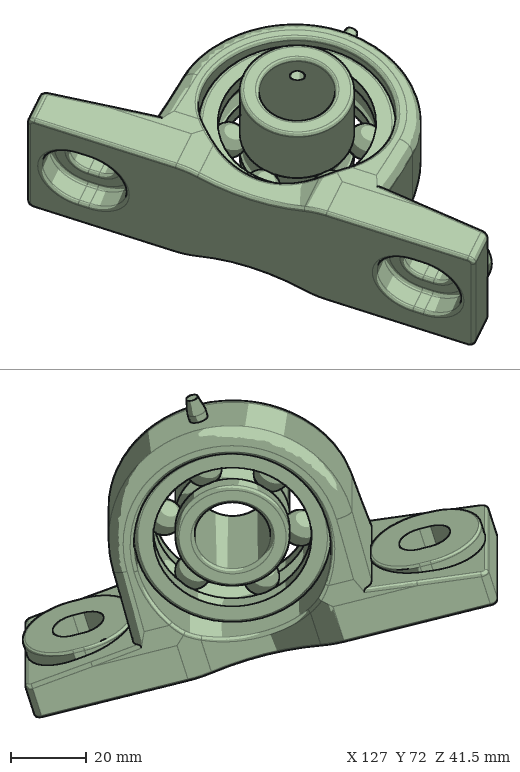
import cadquery as cq
import math

length = 127.0
half_depth = 19.0
bore_height = 33.0
arch_radius = 32.7
arch_edge_fillet = 4.0
bore_radius = 26.0
bore_edge_fillet = 1.0

base_end_height = 10.2
base_arch_height = 14.4
base_corner_fillet = 2.0
base_edge_fillet = 1.0

flare_crest_height = 69.4
flare_crest_half_depth = 10.2
flare_radius = 175.0
flare_blend_radius = 20.0
blank_half_depth = 25.0

waist_half_depth = 15.5
waist_radius = 47.0
waist_blend_radius = 20.0

slot_spacing = 95.0
slot_straight = 3.0
slot_width = 11.0
pocket_width = 21.0
pocket_depth = 7.0
boss_width = 27.8
boss_height = 14.7
boss_edge_fillet = 0.7
slot_edge_fillet = 1.0
tolerance = 0.01

nipple_tip_height = 72.0
nipple_radius = 2.5
nipple_tip_radius = 1.6
nipple_cone_length = 4.2
nipple_root_height = bore_height + 0.5 * (bore_radius + arch_radius)

shaft_radius = 10.0
pitch_radius = 18.0
race_half_gap = 2.88
ring_half_width = 8.0
inner_ring_top = 22.5
ring_edge_fillet = 1.0
inner_edge_fillet = 1.0
ball_radius = 4.8
groove_radius = 4.6
ball_count = 6
bearing_turn = 21.0
screw_radius = 2.0
screw_mouth_radius = 3.0
screw_height = 15.3
screw_angles = (bearing_turn + 90, bearing_turn + 180)

inner_race_radius = pitch_radius - race_half_gap
outer_race_radius = pitch_radius + race_half_gap


def plate(plan):
    """Extrudes a plan outline symmetrically in Z, thick enough to span the whole housing."""
    return plan.extrude(2 * blank_half_depth).translate((0, 0, -blank_half_depth))


def flare_half_depth(height):
    """Half depth of the long flare arcs at a height above the underside."""
    drop = flare_crest_height - height
    return flare_crest_half_depth + flare_radius - math.sqrt(flare_radius**2 - drop**2)


def flared_block():
    """Block whose two faces narrow along long arcs towards the crest, extruded along X."""
    middle_height = flare_crest_height / 2
    foot_half_depth = flare_half_depth(0)
    middle_half_depth = flare_half_depth(middle_height)
    return (
        cq.Workplane("YZ", origin=(-length / 2, 0, 0))
        .moveTo(0, -foot_half_depth)
        .lineTo(0, foot_half_depth)
        .threePointArc((middle_height, middle_half_depth), (flare_crest_height, flare_crest_half_depth))
        .lineTo(flare_crest_height, -flare_crest_half_depth)
        .threePointArc((middle_height, -middle_half_depth), (0, -foot_half_depth))
        .close()
        .extrude(length)
    )


def make_envelope(flare):
    """Flared block limited to the base depth, with the two resulting ridges blended."""
    slab = cq.Workplane("XY").box(length, 2 * flare_crest_height, 2 * half_depth)
    block = flare.intersect(slab)
    return block.faces("<Z or >Z").edges("|X and (not <Y)").fillet(flare_blend_radius)


def waisted_block():
    """Plan outline of the base in the XZ plane, extruded over the full height."""
    spread = waist_radius + waist_blend_radius
    arc_z = waist_half_depth + waist_radius
    blend_z = half_depth - waist_blend_radius
    rise = arc_z - blend_z
    blend_x = math.sqrt(spread**2 - rise**2)
    share = waist_radius / spread
    join_x = share * blend_x
    join_z = arc_z - share * rise
    turn = 0.5 * math.atan2(blend_x, rise)
    mid_x = blend_x - waist_blend_radius * math.sin(turn)
    mid_z = blend_z + waist_blend_radius * math.cos(turn)
    half_length = length / 2
    return (
        cq.Workplane("XZ")
        .moveTo(-half_length, half_depth)
        .lineTo(-blend_x, half_depth)
        .threePointArc((-mid_x, mid_z), (-join_x, join_z))
        .threePointArc((0, waist_half_depth), (join_x, join_z))
        .threePointArc((mid_x, mid_z), (blend_x, half_depth))
        .lineTo(half_length, half_depth)
        .lineTo(half_length, -half_depth)
        .lineTo(blend_x, -half_depth)
        .threePointArc((mid_x, -mid_z), (join_x, -join_z))
        .threePointArc((0, -waist_half_depth), (-join_x, -join_z))
        .threePointArc((-mid_x, -mid_z), (-blend_x, -half_depth))
        .lineTo(-half_length, -half_depth)
        .close()
        .extrude(-flare_crest_height)
    )


def base(envelope, waist):
    """Foot with sloping top, rounded on its ends, underside and top edges."""
    half_length = length / 2
    slope_end = arch_radius - arch_edge_fillet
    plan = (
        cq.Workplane("XY")
        .polyline([
            (-half_length, 0),
            (-half_length, base_end_height),
            (-slope_end, base_arch_height),
            (slope_end, base_arch_height),
            (half_length, base_end_height),
            (half_length, 0),
        ])
        .close()
    )
    blank = plate(plan)
    body = blank.intersect(envelope).intersect(waist)
    body = body.faces("<X or >X").edges("|Y").fillet(base_corner_fillet)
    body = body.faces("<Y").edges().fillet(base_edge_fillet)

    slope_rise = base_arch_height - base_end_height
    slope_run = half_length - slope_end
    for side in (-1, 1):
        slope_normal = cq.Vector(side * slope_rise, slope_run, 0)
        top = body.faces(cq.selectors.ParallelDirSelector(slope_normal))
        rim = top.edges().filter(lambda edge: abs(edge.Center().x) > slope_end + base_edge_fillet)
        body = rim.fillet(base_edge_fillet)
    return body


def arch(flare, envelope, waist):
    """Bearing arch, its outer edges rounded along the long flare before the base depth trims it."""
    plan = (
        cq.Workplane("XY")
        .moveTo(-arch_radius, base_edge_fillet)
        .lineTo(-arch_radius, bore_height)
        .threePointArc((0, bore_height + arch_radius), (arch_radius, bore_height))
        .lineTo(arch_radius, base_edge_fillet)
        .close()
    )
    body = plate(plan).intersect(flare)
    outline = body.faces("<X or >X").edges("not |Z")
    return outline.fillet(arch_edge_fillet).intersect(envelope).intersect(waist)


def slot(width, bottom, top):
    """Straight-sided slot solid, long along X, between two heights, at the middle of the part."""
    return (
        cq.Workplane("XZ", origin=(0, bottom, 0))
        .slot2D(width + slot_straight, width)
        .extrude(bottom - top)
    )


def nipple():
    """Grease nipple on the crest of the arch: a cylinder with a cone tip."""
    shoulder = nipple_tip_height - nipple_cone_length
    return (
        cq.Workplane("XY")
        .moveTo(0, nipple_root_height)
        .lineTo(nipple_radius, nipple_root_height)
        .lineTo(nipple_radius, shoulder)
        .lineTo(nipple_tip_radius, nipple_tip_height)
        .lineTo(0, nipple_tip_height)
        .close()
        .revolve(360, (0, 0, 0), (0, 1, 0))
    )


def cut_bore(body):
    """Cuts the bearing seat and rounds its two mouths along the waisted, flared faces."""
    cutter = plate(cq.Workplane("XY").center(0, bore_height).circle(bore_radius))
    body = body.cut(cutter)

    def on_mouth(edge):
        ends = (edge.positionAt(0), edge.positionAt(1))
        on_seat = all(
            abs(math.hypot(end.x, end.y - bore_height) - bore_radius) < tolerance for end in ends
        )
        return on_seat and min(abs(end.z) for end in ends) > flare_crest_half_depth

    return body.edges().filter(on_mouth).fillet(bore_edge_fillet)


def round_rim(body, place, width, height):
    """Rounds the downward-facing rim of a slot of the given width at the given height."""
    reach = width / 2 + tolerance
    low = (place[0] - reach - slot_straight / 2, height - tolerance, -reach)
    high = (place[0] + reach + slot_straight / 2, height + tolerance, reach)
    rim = body.edges(cq.selectors.BoxSelector(low, high, boundingbox=True))
    return rim.fillet(slot_edge_fillet)


def make_housing():
    """Pillow block housing with its grease nipple and two bossed mounting slots."""
    flare = flared_block()
    envelope = make_envelope(flare)
    waist = waisted_block()
    body = cut_bore(base(envelope, waist).union(arch(flare, envelope, waist)).clean())
    body = body.union(nipple())
    boss = slot(boss_width, base_edge_fillet, boss_height).faces(">Y").edges().fillet(boss_edge_fillet)
    pocket = slot(pocket_width, 0, pocket_depth).faces(">Y").edges().fillet(slot_edge_fillet)
    opening = pocket.union(slot(slot_width, 0, boss_height))
    for side in (-1, 1):
        place = (side * slot_spacing / 2, 0, 0)
        body = body.union(boss.translate(place)).cut(opening.translate(place))
        body = round_rim(body, place, pocket_width, 0)
        body = round_rim(body, place, slot_width, pocket_depth)
    return body


def screw_hole(angle):
    """Cutter for a radial set screw hole with a countersunk mouth."""
    sink = screw_mouth_radius - screw_radius
    return (
        cq.Workplane("XZ")
        .moveTo(0, screw_height)
        .lineTo(0, screw_height + screw_radius)
        .lineTo(inner_race_radius - sink, screw_height + screw_radius)
        .lineTo(inner_race_radius, screw_height + screw_mouth_radius)
        .lineTo(inner_race_radius, screw_height)
        .close()
        .revolve(360, (0, screw_height, 0), (1, screw_height, 0))
        .rotate((0, 0, 0), (0, 0, 1), angle)
    )


def make_bearing():
    """Inner and outer rings joined by the balls, which sink slightly into both grooves."""
    inner = (
        cq.Workplane("XY", origin=(0, 0, -ring_half_width))
        .circle(inner_race_radius)
        .circle(shaft_radius)
        .extrude(inner_ring_top + ring_half_width)
        .faces("<Z or >Z").edges().fillet(inner_edge_fillet)
    )
    outer = (
        cq.Workplane("XY", origin=(0, 0, -ring_half_width))
        .circle(bore_radius)
        .extrude(2 * ring_half_width)
        .edges().fillet(ring_edge_fillet)
        .faces(">Z").workplane().circle(outer_race_radius).cutThruAll()
    )
    groove = cq.Workplane(cq.Solid.makeTorus(pitch_radius, groove_radius))
    body = inner.union(outer).cut(groove)
    for angle in screw_angles:
        body = body.cut(screw_hole(angle))
    for number in range(ball_count):
        angle = math.radians(bearing_turn + number * 360 / ball_count)
        place = (pitch_radius * math.cos(angle), pitch_radius * math.sin(angle), 0)
        body = body.union(cq.Workplane("XY").sphere(ball_radius).translate(place))
    return body.translate((0, bore_height, 0))


housing = make_housing()
bearing = make_bearing()
result = cq.Compound.makeCompound([housing.val(), bearing.val()])